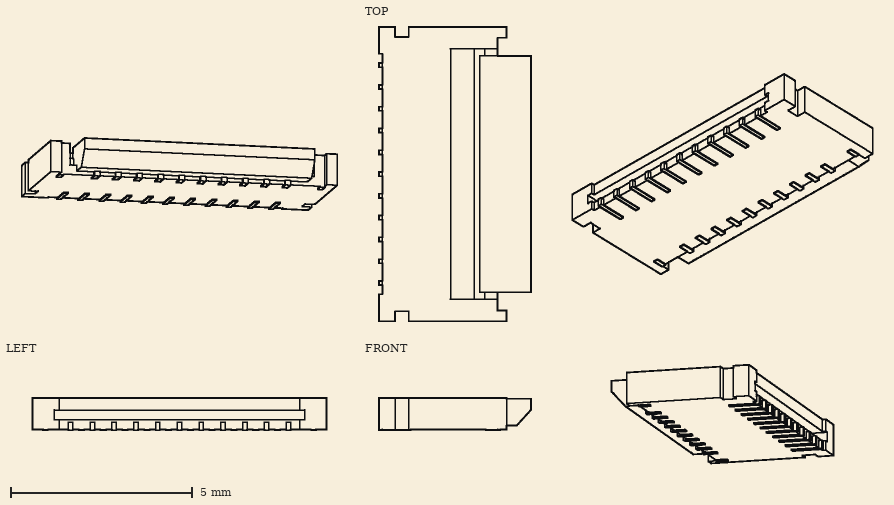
import cadquery as cq

length = 8.1
height = 0.9
total_depth = 4.19
standoff = 0.025

arm_depth = 3.515
front_edge = 3.265
arm_tip_width = 0.3
rear_recess_depth = 0.1
rear_shoulder_width = 0.745
notch_start = 0.445
notch_end = 0.82
notch_depth = 0.275

cavity_start = 1.98
cavity_wall = 0.6
floor_z = 0.29
slot_top_z = 0.56
cavity_width = length - 2 * cavity_wall

shaft_radius = 0.145
shaft_sink = 0.004
lid_start = 2.77
shaft_x = lid_start
lid_end_gap = 0.79
lid_top_z = height - standoff
lid_bottom_z = 0.13
lid_bevel_start = 3.79
lid_bevel_top_z = 0.57

contact_pitch = 0.6
rear_count = 11
rear_width = 0.12
rear_depth = 0.875
rear_height = 0.23
front_count = rear_count - 1
front_width = 0.15
front_start = 2.94
front_end = 3.345
tab_top_z = floor_z / 2
anchor_y = 3.69
anchor_width = 0.14


def block(x_range, y_center, width, z_range):
    """Box between two X and two Z positions, centred on y_center."""
    x0, x1 = x_range
    z0, z1 = z_range
    plain_box = cq.Workplane("XY").box(x1 - x0, width, z1 - z0, centered=(False, True, False))
    return plain_box.translate((x0, y_center, z0))


def row_positions(count):
    """Y centres of a row of contacts, symmetric about the middle."""
    return [(i - (count - 1) / 2) * contact_pitch for i in range(count)]


def make_housing():
    body_z = (standoff, height)
    housing = block((0, arm_depth), 0, length, body_z)
    housing = housing.cut(block((0, rear_recess_depth), 0, length - 2 * rear_shoulder_width, body_z))
    housing = housing.cut(block((front_edge, arm_depth), 0, length - 2 * arm_tip_width, body_z))
    for side in (-1, 1):
        notch_y = side * (length - notch_depth) / 2
        housing = housing.cut(block((notch_start, notch_end), notch_y, notch_depth, body_z))
    housing = housing.cut(block((cavity_start, arm_depth), 0, cavity_width, (floor_z, height)))
    return housing.cut(block((0, cavity_start), 0, cavity_width, (floor_z, slot_top_z)))


def make_shaft():
    shaft_z = floor_z + shaft_radius - shaft_sink
    return (
        cq.Workplane("XZ")
        .center(shaft_x, shaft_z)
        .circle(shaft_radius)
        .extrude(cavity_width / 2, both=True)
    )


def make_lid():
    outline = [
        (lid_start, floor_z),
        (lid_start, lid_top_z),
        (total_depth, lid_top_z),
        (total_depth, lid_bevel_top_z),
        (lid_bevel_start, lid_bottom_z),
        (front_edge, lid_bottom_z),
        (front_edge, floor_z),
    ]
    lid_width = length - 2 * lid_end_gap
    return cq.Workplane("XZ").polyline(outline).close().extrude(lid_width / 2, both=True)


def make_contacts():
    tab_z = (0, tab_top_z)
    contacts = []
    for y in row_positions(rear_count):
        contacts.append(block((0, rear_depth), y, rear_width, (0, rear_height)))
    for y in row_positions(front_count):
        contacts.append(block((front_start, front_end), y, front_width, tab_z))
    for side in (-1, 1):
        contacts.append(block((front_start, front_edge), side * anchor_y, anchor_width, tab_z))
    return contacts


result = make_housing().union(make_lid()).union(make_shaft())
for contact in make_contacts():
    result = result.union(contact)